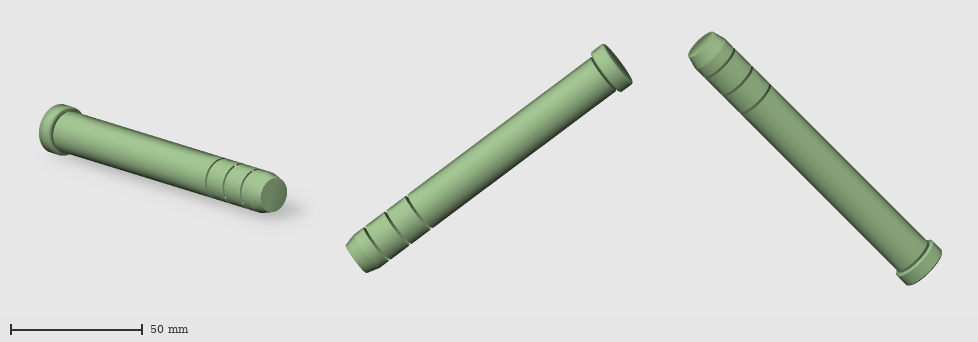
import cadquery as cq
import math

length = 125.0
head_diameter = 19.0
head_thickness = 6.0
head_chamfer = 0.5
shank_diameter = 16.0
nose_length = 5.0
nose_angle = 15.0
groove_radius = 0.5
groove_count = 3
groove_pitch = 10.0
first_groove_distance = 95.0

head_face_x = -length / 2
head_back_x = head_face_x + head_thickness
tip_x = length / 2
shank_radius = shank_diameter / 2
tip_radius = shank_radius - nose_length * math.tan(math.radians(nose_angle))


def revolve_about_pin_axis(profile):
    """Full turn of an XZ profile about the X axis."""
    return profile.revolve(360, (0, 0, 0), (1, 0, 0))


def make_head():
    """Head disc with both rims chamfered."""
    disc = cq.Workplane("YZ", origin=(head_face_x, 0, 0)).circle(head_diameter / 2).extrude(head_thickness)
    return disc.edges().chamfer(head_chamfer)


def make_shank():
    """Plain shank with a conical nose."""
    profile = (
        cq.Workplane("XZ")
        .moveTo(head_back_x, 0)
        .lineTo(head_back_x, shank_radius)
        .lineTo(tip_x - nose_length, shank_radius)
        .lineTo(tip_x, tip_radius)
        .lineTo(tip_x, 0)
        .close()
    )
    return revolve_about_pin_axis(profile)


def groove_cutter(middle_x):
    """Torus centred on the shank surface; it cuts a half-round groove."""
    return revolve_about_pin_axis(cq.Workplane("XZ").moveTo(middle_x, shank_radius).circle(groove_radius))


groove_middles = [head_back_x + groove_radius]
for index in range(groove_count):
    groove_middles.append(head_face_x + first_groove_distance + index * groove_pitch)

shank = make_shank()
for middle_x in groove_middles:
    shank = shank.cut(groove_cutter(middle_x))

result = make_head().union(shank)